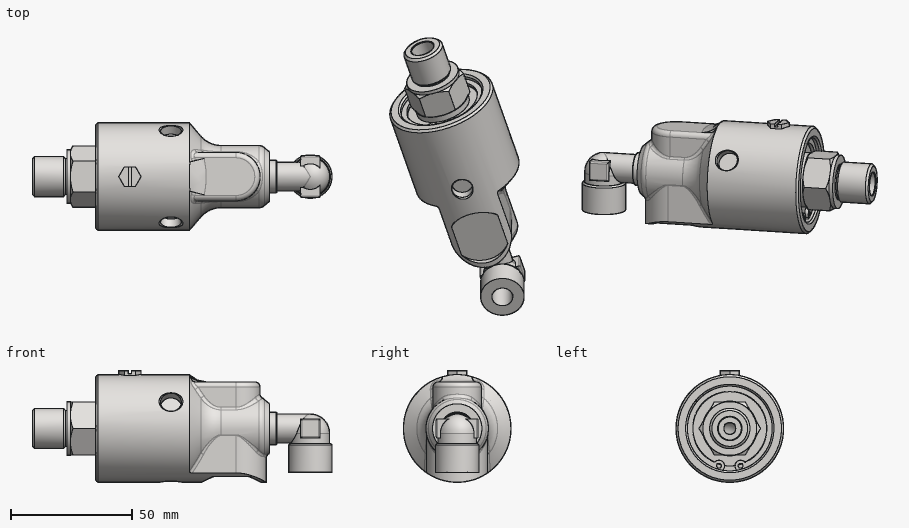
import cadquery as cq
import math


BODY_START = 26.1
BODY_END = 64.8
BODY_RADIUS = 44.5 / 2
BODY_CHAMFER = 0.9

CONE_ANGLE = math.radians(49.5)
CONE_BASE_RADIUS = 1.7 * BODY_RADIUS
CONE_BASE = BODY_END - (CONE_BASE_RADIUS - BODY_RADIUS) / math.tan(CONE_ANGLE)
BLEND_RADIUS = 10.8
NECK_RADIUS = 12.9
NECK_ROUND_START = 93.5
NECK_ROUND_RADIUS = 3.2
NECK_END = 97.9
NECK_END_RADIUS = 10.2

SHAFT_RADIUS = 16.66 / 2
SHAFT_CHAMFER = 0.95
SHAFT_END = 12.8
UNDERCUT_RADIUS = 14.95 / 2
COLLAR_START = 14.2
COLLAR_RADIUS = 22.2 / 2
HEX_START = 15.75
HEX_FLATS = 22.0
HEX_CORNERS = HEX_FLATS / math.cos(math.pi / 6)
HEX_CHAMFER_LENGTH = 1.0
HEX_DEPTH_IN_RECESS = 0.9
HEX_END = BODY_START + HEX_DEPTH_IN_RECESS
SHOULDER_RADIUS = 22.65 / 2
SHAFT_BORE_RADIUS = 9.5 / 2
SHAFT_BORE_CHAMFER = 0.3
SHAFT_BORE_END = 26.0

RECESS_RADIUS = 35.0 / 2
RECESS_CHAMFER = 0.75
RING_START = BODY_START + 2.0
RING_THICKNESS = 1.5
RING_BACK = RING_START + RING_THICKNESS
RING_INNER_RADIUS = 30.4 / 2
RING_GAP = 5.0
RING_LUG_RADIUS = 2.3
RING_LUG_Y = 4.44
RING_LUG_Z = -15.4
RING_HOLE_DIAMETER = 1.98
HUB_RADIUS = 30.95 / 2
HUB_GROOVE_DEPTH = 0.5

RADIAL_HOLE_X = 57.2
RADIAL_HOLE_RADIUS = 8.6 / 2
RADIAL_HOLE_CHAMFER = 0.6
RADIAL_HOLE_DEPTH = 4.5
RADIAL_HOLE_ANGLES = (30, 150, 270)

SCREW_X = 40.25
SCREW_FLATS = 8.0
OVERALL_HEIGHT = 46.09
SCREW_TOP = OVERALL_HEIGHT - BODY_RADIUS
SCREW_SEAT = 1.0
SCREW_SLOT_WIDTH = 1.3
SCREW_SLOT_DEPTH = 1.2

BOSS_CENTRE_X = 84.0
TOP_BOSS_RADIUS = 10.0
TOP_BOSS_HEIGHT = 19.25
TOP_BOSS_EDGE_ROUND = 2.2
TOP_BOSS_ROOT_ROUND = 1.8
TOP_BOSS_BLEND_RADIUS = 9.5
TOP_BOSS_BLEND_NARROW_HALF = 6.0
TOP_BOSS_BLEND_END = 72.0
PORT_BOSS_RADIUS = 12.6
PORT_BOSS_ROOT_ROUND = 1.5
PORT_FACE_X = 82.1
PORT_FACE_RADIUS = 12.3
PORT_FACE_DEPTH = 19.9

SLEEVE_END = 100.9
SLEEVE_RADIUS = 6.8
SLEEVE_CHAMFER = 0.3
TUBE_RADIUS = 12.0 / 2
SOCKET_RADIUS = 18.0 / 2
OVERALL_LENGTH = 123.71
ELBOW_X = OVERALL_LENGTH - SOCKET_RADIUS
ELBOW_RADIUS = 16.0 / 2
DOME_CENTRE_Z = TUBE_RADIUS - ELBOW_RADIUS
SOCKET_TOP = -6.1
SOCKET_CHAMFER = 0.7
SOCKET_BOTTOM = -18.1
PAD_SIDE = 8.0
PAD_SPAN = 17.3
PAD_EDGE_ROUND = 0.6
PIPE_BORE_RADIUS = 4.92 / 2
ELBOW_BORE_RADIUS = 8.6 / 2


def disc(x_start, x_end, radius):
    """Cylinder on the X axis."""
    return cq.Workplane("YZ", origin=(x_start, 0, 0)).circle(radius).extrude(x_end - x_start)


def post(x, radius, z_low, z_high):
    """Vertical cylinder centred at x."""
    return cq.Workplane("XY", origin=(x, 0, z_low)).circle(radius).extrude(z_high - z_low)


def revolve_about_x(outline):
    return outline.close().revolve(360, (0, 0, 0), (1, 0, 0))


def housing_cylinder():
    return disc(BODY_START, BODY_END, BODY_RADIUS).faces("<X").chamfer(BODY_CHAMFER)


def rear_envelope():
    """Space behind the housing cylinder and within its radius."""
    return disc(BODY_END, NECK_END, BODY_RADIUS)


def cone_and_neck():
    """Cone running through a concave blend into the neck, its base wider than the housing."""
    blend_start_radius = NECK_RADIUS + BLEND_RADIUS * (1 - math.cos(CONE_ANGLE))
    blend_start = BODY_END + (BODY_RADIUS - blend_start_radius) / math.tan(CONE_ANGLE)
    blend_end = blend_start + BLEND_RADIUS * math.sin(CONE_ANGLE)
    half_angle = CONE_ANGLE / 2
    blend_middle = (
        blend_end - BLEND_RADIUS * math.sin(half_angle),
        NECK_RADIUS + BLEND_RADIUS * (1 - math.cos(half_angle)),
    )
    round_turn = math.pi / 4
    round_end = (
        NECK_ROUND_START + NECK_ROUND_RADIUS * math.sin(round_turn),
        NECK_RADIUS - NECK_ROUND_RADIUS * (1 - math.cos(round_turn)),
    )
    outline = (
        cq.Workplane("XZ")
        .moveTo(CONE_BASE, 0)
        .lineTo(CONE_BASE, CONE_BASE_RADIUS)
        .lineTo(blend_start, blend_start_radius)
        .threePointArc(blend_middle, (blend_end, NECK_RADIUS))
        .lineTo(NECK_ROUND_START, NECK_RADIUS)
        .tangentArcPoint(round_end, relative=False)
        .lineTo(NECK_END, NECK_END_RADIUS)
        .lineTo(NECK_END, 0)
    )
    return revolve_about_x(outline)


def round_ended_block(radius, z_low, z_high):
    """Straight-sided block from the cone base to a half-round end."""
    return (
        cq.Workplane("XY", origin=(0, 0, z_low))
        .moveTo(CONE_BASE, -radius)
        .lineTo(BOSS_CENTRE_X, -radius)
        .threePointArc((BOSS_CENTRE_X + radius, 0), (BOSS_CENTRE_X, radius))
        .lineTo(CONE_BASE, radius)
        .close()
        .extrude(z_high - z_low)
    )


def top_boss():
    return (
        round_ended_block(TOP_BOSS_RADIUS, 0, TOP_BOSS_HEIGHT)
        .faces(">Z")
        .edges("not <X")
        .fillet(TOP_BOSS_EDGE_ROUND)
    )


def port_boss():
    return round_ended_block(PORT_BOSS_RADIUS, -CONE_BASE_RADIUS, 0)


def round_root(part, boss_radius, side_of_neck, root_round):
    """Fillet where a boss meets cone and neck; the tangent chain follows from the straight neck stretch."""
    root_z = side_of_neck * math.sqrt(NECK_RADIUS**2 - boss_radius**2)
    stretch_x = BOSS_CENTRE_X - 1
    ends = [cq.Vertex.makeVertex(stretch_x, y, root_z) for y in (-boss_radius, boss_radius)]
    edges = part.edges().vals()
    roots = [min(edges, key=end.distance) for end in ends]
    return part.newObject(roots).fillet(root_round)


def top_boss_blend():
    """Large concave blend from the cone up to the flat top of the boss, narrower towards the housing."""
    slope = math.tan(CONE_ANGLE)
    cone_tip = BODY_END + BODY_RADIUS / slope
    cone = revolve_about_x(
        cq.Workplane("XZ").moveTo(CONE_BASE, 0).lineTo(CONE_BASE, CONE_BASE_RADIUS).lineTo(cone_tip, 0)
    )
    slab = cq.Workplane("XY").box(
        NECK_END - CONE_BASE, 3 * CONE_BASE_RADIUS, TOP_BOSS_HEIGHT, centered=(False, True, False)
    )
    blended = cone.union(slab.translate((CONE_BASE, 0, 0)))
    crease = [edge for edge in blended.edges("%HYPERBOLA").vals() if edge.Center().z > TOP_BOSS_HEIGHT / 2]
    blended = blended.newObject(crease).fillet(TOP_BOSS_BLEND_RADIUS)
    wide_half = TOP_BOSS_RADIUS - TOP_BOSS_EDGE_ROUND
    narrow_half = TOP_BOSS_BLEND_NARROW_HALF
    outline = [
        (BODY_END, -narrow_half),
        (TOP_BOSS_BLEND_END, -wide_half),
        (TOP_BOSS_BLEND_END, wide_half),
        (BODY_END, narrow_half),
    ]
    wedge = cq.Workplane("XY").polyline(outline).close().extrude(BODY_RADIUS)
    return blended.intersect(wedge)


def rear():
    """Neck with both bosses, trimmed to the housing radius."""
    body = cone_and_neck().union(port_boss())
    body = round_root(body, PORT_BOSS_RADIUS, -1, PORT_BOSS_ROOT_ROUND)
    body = body.union(top_boss())
    body = round_root(body, TOP_BOSS_RADIUS, 1, TOP_BOSS_ROOT_ROUND)
    return body.union(top_boss_blend()).intersect(rear_envelope()).cut(port_face_cut())


def port_face_cut():
    return post(PORT_FACE_X, PORT_FACE_RADIUS, -BODY_RADIUS, -PORT_FACE_DEPTH)


def radial_hole(angle):
    """Blind chamfered hole, pointing outward at an angle measured from +Y towards +Z."""
    rim = RADIAL_HOLE_RADIUS + RADIAL_HOLE_CHAMFER
    floor = BODY_RADIUS - RADIAL_HOLE_DEPTH
    chamfer_base = BODY_RADIUS - RADIAL_HOLE_CHAMFER
    outside = BODY_RADIUS + 1
    tool = (
        cq.Workplane("XY")
        .moveTo(0, floor)
        .lineTo(RADIAL_HOLE_RADIUS, floor)
        .lineTo(RADIAL_HOLE_RADIUS, chamfer_base)
        .lineTo(rim, BODY_RADIUS)
        .lineTo(rim, outside)
        .lineTo(0, outside)
        .close()
        .revolve(360, (0, 0, 0), (0, 1, 0))
    )
    return tool.rotate((0, 0, 0), (1, 0, 0), angle).translate((RADIAL_HOLE_X, 0, 0))


def recess_cut():
    """Chamfered face recess with a shallow groove around the hub."""
    mouth = RECESS_RADIUS + RECESS_CHAMFER
    groove_end = RING_BACK + HUB_GROOVE_DEPTH
    outline = (
        cq.Workplane("XZ")
        .moveTo(BODY_START, 0)
        .lineTo(BODY_START, mouth)
        .lineTo(BODY_START + RECESS_CHAMFER, RECESS_RADIUS)
        .lineTo(groove_end, RECESS_RADIUS)
        .lineTo(groove_end, HUB_RADIUS)
        .lineTo(RING_BACK, HUB_RADIUS)
        .lineTo(RING_BACK, 0)
    )
    return revolve_about_x(outline)


def retaining_ring():
    """Split ring with two drilled lugs beside the gap at the bottom."""
    ring = disc(RING_START, RING_BACK, RECESS_RADIUS).cut(disc(RING_START, RING_BACK, RING_INNER_RADIUS))
    gap = cq.Workplane("XY").box(RING_THICKNESS, RING_GAP, RECESS_RADIUS, centered=(False, True, False))
    ring = ring.cut(gap.translate((RING_START, 0, -RECESS_RADIUS)))
    lug_centres = [(RING_LUG_Y, RING_LUG_Z), (-RING_LUG_Y, RING_LUG_Z)]
    plane = cq.Workplane("YZ", origin=(RING_START, 0, 0)).pushPoints(lug_centres)
    lugs = plane.circle(RING_LUG_RADIUS).extrude(RING_THICKNESS)
    lugs = lugs.intersect(disc(RING_START, RING_BACK, RECESS_RADIUS))
    holes = plane.circle(RING_HOLE_DIAMETER / 2).extrude(RING_THICKNESS)
    return ring.union(lugs).cut(holes)


def shaft():
    """Chamfered shaft end, tapered undercut and collar in front of the hexagon."""
    outline = (
        cq.Workplane("XZ")
        .lineTo(0, SHAFT_RADIUS - SHAFT_CHAMFER)
        .lineTo(SHAFT_CHAMFER, SHAFT_RADIUS)
        .lineTo(SHAFT_END, SHAFT_RADIUS)
        .lineTo(SHAFT_END + SHAFT_RADIUS - UNDERCUT_RADIUS, UNDERCUT_RADIUS)
        .lineTo(COLLAR_START, UNDERCUT_RADIUS)
        .lineTo(COLLAR_START, COLLAR_RADIUS)
        .lineTo(HEX_START, COLLAR_RADIUS)
        .lineTo(HEX_START, 0)
    )
    return revolve_about_x(outline)


def hexagon():
    """Hexagon with flats up and down and corners coned off at both ends, with the shoulder behind it."""
    prism = cq.Workplane("YZ", origin=(HEX_START, 0, 0)).polygon(6, HEX_CORNERS).extrude(HEX_END - HEX_START)
    outline = (
        cq.Workplane("XZ")
        .moveTo(HEX_START, 0)
        .lineTo(HEX_START, COLLAR_RADIUS)
        .lineTo(HEX_START + HEX_CHAMFER_LENGTH, HEX_CORNERS / 2)
        .lineTo(HEX_END - HEX_CHAMFER_LENGTH, HEX_CORNERS / 2)
        .lineTo(HEX_END, COLLAR_RADIUS)
        .lineTo(HEX_END, 0)
    )
    shoulder = disc(HEX_END, RING_BACK, SHOULDER_RADIUS)
    return prism.intersect(revolve_about_x(outline)).union(shoulder)


def screw():
    """Slotted hexagon screw head with its corners along X."""
    root = BODY_RADIUS - SCREW_SEAT
    corners = SCREW_FLATS / math.cos(math.pi / 6)
    head = cq.Workplane("XY", origin=(SCREW_X, 0, root)).polygon(6, corners).extrude(SCREW_TOP - root)
    slot = cq.Workplane("XY").box(SCREW_SLOT_WIDTH, corners, SCREW_SLOT_DEPTH, centered=(True, True, False))
    return head.cut(slot.translate((SCREW_X, 0, SCREW_TOP - SCREW_SLOT_DEPTH)))


def siphon_tube():
    sleeve = disc(NECK_END, SLEEVE_END, SLEEVE_RADIUS).faces(">X").chamfer(SLEEVE_CHAMFER)
    return sleeve.union(disc(NECK_END, ELBOW_X, TUBE_RADIUS))


def elbow():
    """Domed upright with a socket below and a square pad on each side."""
    dome = cq.Workplane("XY").sphere(ELBOW_RADIUS).translate((ELBOW_X, 0, DOME_CENTRE_Z))
    upright = post(ELBOW_X, ELBOW_RADIUS, SOCKET_TOP, DOME_CENTRE_Z)
    socket = post(ELBOW_X, SOCKET_RADIUS, SOCKET_BOTTOM, SOCKET_TOP).faces(">Z").chamfer(SOCKET_CHAMFER)
    pads = (
        cq.Workplane("XY")
        .box(PAD_SIDE, PAD_SPAN, PAD_SIDE)
        .faces("<Y or >Y")
        .edges()
        .fillet(PAD_EDGE_ROUND)
        .translate((ELBOW_X, 0, 0))
    )
    return dome.union(upright).union(socket).union(pads)


def elbow_bore():
    """Vertical passage with a domed top, open at the socket end."""
    top = post(ELBOW_X, ELBOW_BORE_RADIUS, SOCKET_BOTTOM, DOME_CENTRE_Z)
    dome = cq.Workplane("XY").sphere(ELBOW_BORE_RADIUS).translate((ELBOW_X, 0, DOME_CENTRE_Z))
    return top.union(dome)


def shaft_bore():
    """Chamfered bore in the shaft, continued by the narrow pipe bore to the elbow."""
    outline = (
        cq.Workplane("XZ")
        .lineTo(0, SHAFT_BORE_RADIUS + SHAFT_BORE_CHAMFER)
        .lineTo(SHAFT_BORE_CHAMFER, SHAFT_BORE_RADIUS)
        .lineTo(SHAFT_BORE_END, SHAFT_BORE_RADIUS)
        .lineTo(SHAFT_BORE_END, PIPE_BORE_RADIUS)
        .lineTo(ELBOW_X, PIPE_BORE_RADIUS)
        .lineTo(ELBOW_X, 0)
    )
    return revolve_about_x(outline)


result = housing_cylinder().union(rear()).cut(recess_cut())
for hole_angle in RADIAL_HOLE_ANGLES:
    result = result.cut(radial_hole(hole_angle))
for piece in (retaining_ring(), shaft(), hexagon(), screw(), siphon_tube(), elbow()):
    result = result.union(piece)
result = result.cut(shaft_bore()).cut(elbow_bore())